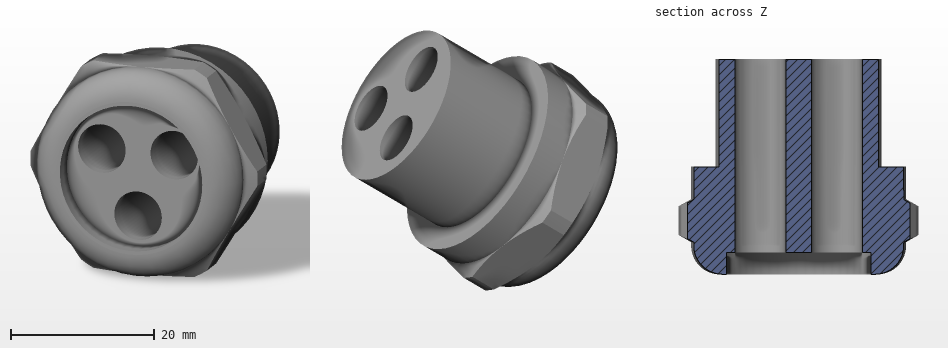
import cadquery as cq
import math

across_corners = 33.5
across_flats = 30.0
tube_diameter = 23.2
total_length = 30.0

hex_front = 4.5
hex_length = 6.0
hex_back = hex_front + hex_length
collar_back = total_length / 2

chamfer_angle = 30.0

rim_radius = 4.0
recess_diameter = 21.0
recess_depth = 3.0

hole_count = 3
hole_diameter = 7.0
hole_pitch_radius = 6.15
first_hole_angle = -90.0


def cylinder(diameter, start, end):
    """Solid cylinder on the axis between two stations."""
    plane = cq.Workplane("XZ", origin=(0, start, 0))
    return plane.circle(diameter / 2).extrude(start - end)


def make_hexagon():
    """Hexagon with corners on +-X, turned to a cylinder and chamfered on both faces."""
    sharp_corners = across_flats / math.cos(math.radians(30))
    blank = (
        cq.Workplane("XZ", origin=(0, hex_front, 0))
        .polygon(6, sharp_corners)
        .extrude(-hex_length)
    )
    flat_radius = across_flats / 2
    corner_radius = across_corners / 2
    chamfer = (corner_radius - flat_radius) * math.tan(math.radians(chamfer_angle))
    envelope = (
        cq.Workplane("XY")
        .moveTo(0, hex_front)
        .lineTo(flat_radius, hex_front)
        .lineTo(corner_radius, hex_front + chamfer)
        .lineTo(corner_radius, hex_back - chamfer)
        .lineTo(flat_radius, hex_back)
        .lineTo(0, hex_back)
        .close()
        .revolve(360, (0, 0, 0), (0, 1, 0))
    )
    return blank.intersect(envelope)


def make_body():
    """Round collar with a rounded front rim, carrying the hexagon and the rear tube."""
    collar = cylinder(across_flats, 0, collar_back).faces("<Y").edges().fillet(rim_radius)
    tube = cylinder(tube_diameter, hex_back, total_length)
    return collar.union(make_hexagon()).union(tube)


def make_cable_holes():
    """Round holes running the full length of the part."""
    return (
        cq.Workplane("XZ")
        .polarArray(hole_pitch_radius, first_hole_angle, 360, hole_count)
        .circle(hole_diameter / 2)
        .extrude(-total_length)
    )


recess = cylinder(recess_diameter, 0, recess_depth)
result = make_body().cut(recess).cut(make_cable_holes())